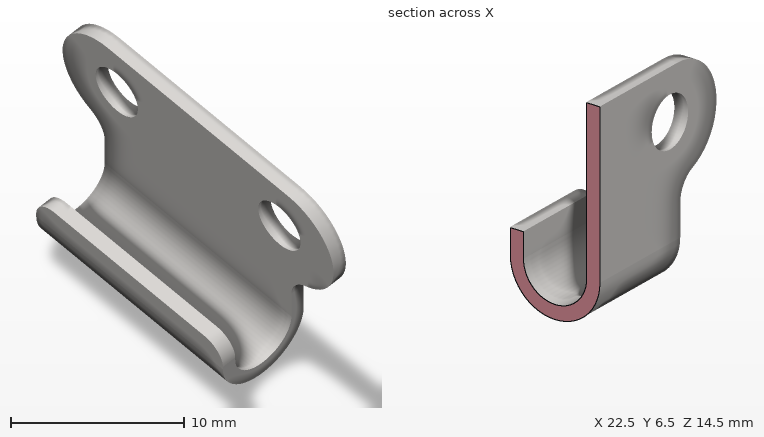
import cadquery as cq
import math

width = 22.5
height = 14.5
depth = 6.5
thickness = 1.0

lug_radius = 3.75
neck_width = 15.5
neck_fillet = 2.0

hole_diameter = 3.5
hole_spacing = 13.5
hole_drop = 3.5

lip_height = 5.0
lip_corner_radius = 1.5

bend_outer = depth / 2
bend_inner = bend_outer - thickness
bend_z = bend_outer
lug_x = width / 2 - lug_radius
lug_z = height - lug_radius
half_neck = neck_width / 2

fillet_x = half_neck + neck_fillet
centre_distance = lug_radius + neck_fillet
fillet_z = lug_z - math.sqrt(centre_distance**2 - (fillet_x - lug_x) ** 2)
lug_share = lug_radius / centre_distance
tangent_x = lug_x + lug_share * (fillet_x - lug_x)
tangent_z = lug_z + lug_share * (fillet_z - lug_z)

sweep = math.atan2(tangent_z - fillet_z, fillet_x - tangent_x)
fillet_mid_x = fillet_x - neck_fillet * math.cos(sweep / 2)
fillet_mid_z = fillet_z + neck_fillet * math.sin(sweep / 2)


def make_plate():
    """Flat plate with two round lugs, narrowing to the neck above the bend."""
    outline = (
        cq.Workplane("XZ", origin=(0, bend_outer, 0))
        .moveTo(-half_neck, bend_z)
        .lineTo(half_neck, bend_z)
        .lineTo(half_neck, fillet_z)
        .threePointArc((fillet_mid_x, fillet_mid_z), (tangent_x, tangent_z))
        .threePointArc((width / 2, lug_z), (lug_x, height))
        .lineTo(-lug_x, height)
        .threePointArc((-width / 2, lug_z), (-tangent_x, tangent_z))
        .threePointArc((-fillet_mid_x, fillet_mid_z), (-half_neck, fillet_z))
        .close()
    )
    plate = outline.extrude(thickness)
    holes = (
        cq.Workplane("XZ", origin=(0, bend_outer, height - hole_drop))
        .pushPoints([(-hole_spacing / 2, 0), (hole_spacing / 2, 0)])
        .circle(hole_diameter / 2)
        .extrude(thickness)
    )
    return plate.cut(holes)


def make_bend():
    """Half-round trough joining the plate to the lip."""
    return (
        cq.Workplane("YZ", origin=(-half_neck, 0, 0))
        .moveTo(bend_outer, bend_z)
        .threePointArc((0, bend_z - bend_outer), (-bend_outer, bend_z))
        .lineTo(-bend_inner, bend_z)
        .threePointArc((0, bend_z - bend_inner), (bend_inner, bend_z))
        .close()
        .extrude(neck_width)
    )


def make_lip():
    """Short upright lip with rounded top corners."""
    return (
        cq.Workplane("XY", origin=(0, -bend_outer, bend_z))
        .box(neck_width, thickness, lip_height - bend_z, centered=(True, False, False))
        .edges("|Y and >Z")
        .fillet(lip_corner_radius)
    )


result = make_plate().union(make_bend()).union(make_lip())